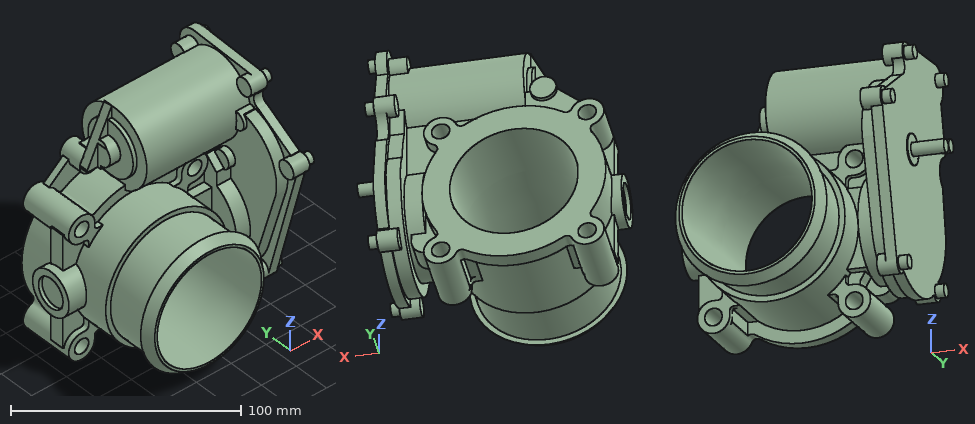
import cadquery as cq
import math


bore_radius = 28.5
mouth_radius = 30.0
throat_depth = 30.0
barrel_radius = 35.0
barrel_length = 48.9
neck_radius = 32.25
bead_depth = 72.0
bead_radius = barrel_radius
mouth_outer_radius = 31.4
body_length = 77.2

screw_offset = 32.5
screw_boss_radius = 7.5
screw_hole_radius = 4.0
screw_boss_length = 30.2
boss_block_half = 28.5
boss_block_fillet = 2.0
boss_notch = screw_offset - screw_boss_radius
flange_radius = 40.8
flange_thickness = 7.0
web_depth = 27.0
flange_fillet = 2.5

shaft_y = -24.2
shaft_boss_radius = 12.0
shaft_boss_start = -45.08
shaft_recess_radius = 8.1
shaft_recess_depth = 2.0
rib_start = -40.55
rib_width = 8.0
rib_half_height = 31.4

motor_y = -19.7
motor_z = 57.8
motor_radius = 21.45
motor_start = -4.6
motor_step_radius = 14.9
motor_step_length = 2.2
motor_nub_radius = 6.6
nub_start = -12.75
nub_block_front = motor_y - 0.2
nub_block_back = -6.0
nub_block_top = motor_z - 2.0
motor_foot_end = 48.8

pivot_x = -12.9
pivot_z = 49.4
pivot_radius = 5.85
pivot_length = 13.1
gusset_width = 4.9
gusset_back = -13.1
gusset_toe_height = 1.1
pivot_web_back = -1.9
pivot_web_front = -5.8

gear_case_start = 40.7
case_flange_start = 48.8
cover_start = 55.2
gear_case_radius = 24.0
case_flange_radius = 30.0
gear_arm_front = -35.3
gear_arm_shoulder = 28.8
gear_arm_top = 34.9
gear_arm_top_front = -28.4
shaft_block_half = 18.5
shaft_block_front = -32.1
lower_web_end = 47.0
lower_web_bottom = -27.5
lower_web_fillet = 7.0
idler_y = -33.4
idler_z = 32.5
idler_boss_radius = 4.9
idler_boss_start = 45.0

cover_end = 60.4
lug_radius = 4.8
lug_start = 51.1
long_lug_start = 47.0
stud_radius = 3.1
stud_end = 64.5
large_lug_radius = 9.35
cover_bottom_radius = 31.8
pin_end = 76.0
pin_collar_radius = 7.1
pin_collar_end = 60.85

lug_upper_front = (-41.4, 74.4)
lug_middle_front = (-69.4, 45.3)
lug_lower_front = (-48.2, -24.0)
lug_lower_back = (-1.6, -22.4)
lug_middle_back = (4.9, 45.9)
lug_centres = [lug_upper_front, lug_middle_front, lug_lower_front, lug_lower_back, lug_middle_back]
large_lug_centre = (-3.4, 71.6)
back_stud_centre = (-1.4, 74.2)
long_lug_centres = [(-2.5, 71.9), (-41.1, 57.7)]

screw_places = [(sx * screw_offset, sz * screw_offset) for sx in (-1, 1) for sz in (-1, 1)]


def cylinder_x(start, end, y, z, radius):
    """Cylinder along X between two X positions."""
    return cq.Workplane("YZ", origin=(start, 0, 0)).center(y, z).circle(radius).extrude(end - start)


def cylinder_y(depth, x, z, radius):
    """Cylinder from the mounting face towards -Y."""
    return cq.Workplane("XZ").center(x, z).circle(radius).extrude(depth)


def box_between(x_range, y_range, z_range):
    """Box that fills the given ranges."""
    corner = (x_range[0], y_range[0], z_range[0])
    return cq.Workplane("XY").box(
        x_range[1] - x_range[0],
        y_range[1] - y_range[0],
        z_range[1] - z_range[0],
        centered=False,
    ).translate(corner)


def profile_y(points, back, front):
    """Polygon of (X, Z) points extruded from Y = back to Y = front."""
    return cq.Workplane("XZ", origin=(0, back, 0)).polyline(points).close().extrude(back - front)


def mounting_flange():
    """Round flange blended into the screw bosses, relieved below to a thin lip."""
    flange = cylinder_y(web_depth, 0, 0, flange_radius)
    for x, z in screw_places:
        flange = flange.union(cylinder_y(web_depth, x, z, screw_boss_radius))
    boss_distance = math.hypot(screw_offset, screw_offset)
    along = (boss_distance**2 + flange_radius**2 - screw_boss_radius**2) / (2 * boss_distance)
    turn = math.degrees(math.acos(along / flange_radius))
    for corner in (45, 135, 225, 315):
        for angle in (corner - turn, corner + turn):
            x = flange_radius * math.cos(math.radians(angle))
            z = flange_radius * math.sin(math.radians(angle))
            edge = cq.selectors.NearestToPointSelector((x, -web_depth / 2, z))
            flange = flange.edges("|Y").edges(edge).fillet(flange_fillet)
    relief = box_between(
        (-boss_notch, boss_notch), (-web_depth, -flange_thickness), (-flange_radius, -boss_block_half)
    )
    return flange.cut(relief)


def boss_pads():
    """Raised boss faces in front of the web, joined to a square block around the barrel."""
    pad_height = screw_boss_length - web_depth
    plane = cq.Workplane("XZ", origin=(0, -web_depth, 0))
    pads = plane.rect(2 * boss_block_half, 2 * boss_block_half).extrude(pad_height)
    for x, z in screw_places:
        inward_x = x - math.copysign(screw_boss_radius / 2, x)
        inward_z = z - math.copysign(screw_boss_radius / 2, z)
        arm = plane.center(inward_x, inward_z).rect(screw_boss_radius, screw_boss_radius)
        pads = pads.union(arm.extrude(pad_height))
        pads = pads.union(plane.center(x, z).circle(screw_boss_radius).extrude(pad_height))
    middle = -(web_depth + screw_boss_length) / 2
    for sx in (-1, 1):
        for sz in (-1, 1):
            for x, z in ((boss_block_half, boss_notch), (boss_notch, boss_block_half)):
                edge = cq.selectors.NearestToPointSelector((sx * x, middle, sz * z))
                pads = pads.edges("|Y").edges(edge).fillet(boss_block_fillet)
    return pads


def barrel():
    """Barrel, hose neck and the flared bead at the mouth."""
    outline = [
        (0, 0),
        (barrel_radius, 0),
        (barrel_radius, -barrel_length),
        (neck_radius, -barrel_length),
        (neck_radius, -bead_depth),
        (bead_radius, -bead_depth),
        (mouth_outer_radius, -body_length),
        (0, -body_length),
    ]
    return cq.Workplane("XY").polyline(outline).close().revolve(360, (0, 0), (0, 1))


def bore():
    """Straight throat behind a tapered mouth."""
    outline = [
        (0, 0),
        (bore_radius, 0),
        (bore_radius, -throat_depth),
        (mouth_radius, -body_length),
        (0, -body_length),
    ]
    return cq.Workplane("XY").polyline(outline).close().revolve(360, (0, 0), (0, 1))


def shaft_boss():
    """Blind shaft boss on the -X side with its vertical rib."""
    rib = box_between(
        (rib_start, -screw_offset), (-web_depth, rib_width - web_depth), (-rib_half_height, rib_half_height)
    )
    boss = cylinder_x(shaft_boss_start, -bore_radius, shaft_y, 0, shaft_boss_radius)
    recess_end = shaft_boss_start + shaft_recess_depth
    return rib.union(boss).cut(cylinder_x(shaft_boss_start, recess_end, shaft_y, 0, shaft_recess_radius))


def motor_case():
    """Motor cylinder with its end step and the nub that the gusset cuts off at a slant."""
    case = cylinder_x(motor_start, cover_start, motor_y, motor_z, motor_radius)
    step_start = motor_start - motor_step_length
    case = case.union(cylinder_x(step_start, motor_start, motor_y, motor_z, motor_step_radius))
    nub = cylinder_x(nub_start, motor_start, motor_y, motor_z, motor_nub_radius)
    nub_block = box_between(
        (nub_start, motor_start), (nub_block_front, nub_block_back), (pivot_z, nub_block_top)
    )
    nub = nub.union(nub_block).intersect(gusset(0, -body_length))
    foot = box_between((motor_start, motor_foot_end), (-web_depth, -pivot_radius), (boss_block_half, motor_z))
    return case.union(nub).union(foot)


def gusset(back, front):
    """Slanted plate from the pivot boss up to the top of the motor."""
    outline = [
        (pivot_x - pivot_radius, pivot_z),
        (pivot_x - pivot_radius, pivot_z + gusset_toe_height),
        (motor_start, motor_z + motor_radius),
        (motor_start, pivot_z),
    ]
    return profile_y(outline, back, front)


def motor_bracket():
    """Pivot boss along Y, its gusset and the web down to the flange."""
    pivot = cylinder_y(pivot_length, pivot_x, pivot_z, pivot_radius)
    web = [
        (-30.0, 39.8),
        (pivot_x - pivot_radius, pivot_z),
        (motor_start, pivot_z),
        (motor_start, 30.0),
        (-25.0, 30.0),
    ]
    plate = profile_y(web, pivot_web_back, pivot_web_front)
    return pivot.union(gusset(gusset_back, gusset_back - gusset_width)).union(plate)


def case_flange():
    """Wide gear-case flange that the cover closes."""
    outline = (
        cq.Workplane("YZ", origin=(case_flange_start, 0, 0))
        .moveTo(motor_y, motor_z)
        .lineTo(-44.3, 61.9)
        .threePointArc((-59.4, 52.4), (-65.0, 29.8))
        .lineTo(-52.8, -9.2)
        .threePointArc((shaft_y, -case_flange_radius), (5.3, -5.4))
        .lineTo(7.1, 4.0)
        .threePointArc((6.8, 11.0), (3.8, 18.0))
        .lineTo(2.4, 26.3)
        .lineTo(-0.8, 34.5)
        .lineTo(-0.8, motor_z)
        .close()
    )
    return outline.extrude(cover_start - case_flange_start)


def gear_case():
    """Shaft bearing block, round gear case with its idler arm, and the case flange."""
    case = box_between(
        (0, gear_case_start), (shaft_block_front, -flange_thickness), (-shaft_block_half, shaft_block_half)
    )
    case = case.union(cylinder_x(gear_case_start, case_flange_start, shaft_y, 0, gear_case_radius))
    arm = (
        cq.Workplane("YZ", origin=(gear_case_start, 0, 0))
        .moveTo(shaft_y, 0)
        .lineTo(gear_arm_front, 0)
        .lineTo(gear_arm_front, gear_arm_shoulder)
        .lineTo(gear_arm_front + 1.0, gear_arm_shoulder + 0.6)
        .lineTo(gear_arm_top_front, gear_arm_top)
        .lineTo(-pivot_radius, gear_arm_top)
        .lineTo(-pivot_radius, 0)
        .close()
        .extrude(case_flange_start - gear_case_start)
    )
    web = box_between(
        (0, gear_case_start), (-web_depth, -pivot_radius), (0, motor_z - motor_radius)
    )
    lower_web = box_between(
        (screw_offset, lower_web_end), (rib_width - web_depth, -flange_thickness), (lower_web_bottom, 0)
    )
    lower_web = lower_web.edges("|Y and >X and <Z").fillet(lower_web_fillet)
    case = case.union(arm).union(web).union(lower_web).union(case_flange())
    case = case.union(cylinder_x(idler_boss_start, cover_start, idler_y, idler_z, idler_boss_radius))
    for y, z in long_lug_centres:
        case = case.union(cylinder_x(long_lug_start, cover_start, y, z, idler_boss_radius))
    return case


def build_housing():
    """Throttle body, motor case and gear case as one casting."""
    housing = mounting_flange().union(boss_pads()).union(barrel()).union(shaft_boss())
    housing = housing.union(motor_case()).union(motor_bracket()).union(gear_case())
    housing = housing.cut(bore())
    for y, z in lug_centres:
        housing = housing.cut(cylinder_x(lug_start, cover_start, y, z, lug_radius))
    for x, z in screw_places:
        housing = housing.cut(cylinder_y(screw_boss_length, x, z, screw_hole_radius))
    return housing


def cover_plate():
    """Plate outline between the lugs, with rounded lugs added at the corners."""
    large_y, large_z = large_lug_centre
    plate = (
        cq.Workplane("YZ", origin=(cover_start, 0, 0))
        .moveTo(large_y, large_z + large_lug_radius)
        .lineTo(lug_upper_front[0], lug_upper_front[1] + lug_radius)
        .lineTo(*lug_upper_front)
        .lineTo(-45.2, 70.9)
        .threePointArc((-43.1, 67.2), (-46.4, 62.8))
        .lineTo(-67.6, 50.0)
        .lineTo(*lug_middle_front)
        .lineTo(-71.3, 41.0)
        .lineTo(lug_lower_front[0] - lug_radius, lug_lower_front[1])
        .lineTo(*lug_lower_front)
        .threePointArc((shaft_y, -cover_bottom_radius), lug_lower_back)
        .lineTo(0.6, -17.3)
        .threePointArc((7.2, -7.6), (9.7, 4.9))
        .lineTo(5.5, 27.7)
        .threePointArc((1.9, 35.1), (6.8, 41.5))
        .lineTo(*lug_middle_back)
        .lineTo(7.3, 50.1)
        .lineTo(3.4, 65.2)
        .lineTo(*large_lug_centre)
        .close()
        .extrude(cover_end - cover_start)
    )
    plate = plate.union(cylinder_x(cover_start, cover_end, large_y, large_z, large_lug_radius))
    for y, z in lug_centres:
        plate = plate.union(cylinder_x(lug_start, cover_end, y, z, lug_radius))
    return plate


def build_cover():
    """Cover plate with its studs and the idler pin."""
    cover = cover_plate()
    for y, z in lug_centres + [back_stud_centre]:
        cover = cover.union(cylinder_x(cover_start, stud_end, y, z, stud_radius))
    cover = cover.union(cylinder_x(cover_start, pin_collar_end, idler_y, idler_z, pin_collar_radius))
    return cover.union(cylinder_x(cover_start, pin_end, idler_y, idler_z, stud_radius))


housing = build_housing()
cover = build_cover()

result = cq.Compound.makeCompound([housing.val(), cover.val()])